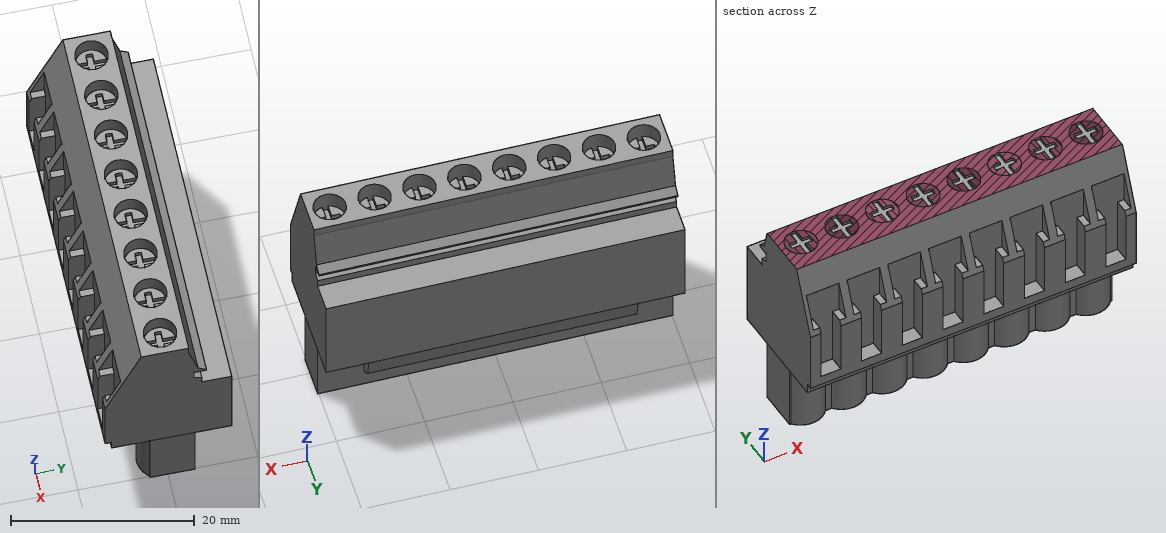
import cadquery as cq

pole_count = 8
length = 40.65
pitch = length / pole_count
pole_centres = [(i - (pole_count - 1) / 2) * pitch for i in range(pole_count)]

height = 27.2
body_bottom = 8.4
lip_top = 9.65
front_top = 17.25
shelf_top = 19.25

depth = 14.1
lip_setback = 0.75
roof_front = 4.02
roof_back = 9.3

groove_bottom = 20.52
groove_floor = 9.9
groove_step_back = 10.75
groove_step_top = 20.2
rib_bottom = 21.62
rib_tip_top = 21.82
rib_tip_back = 11.3
rib_root_top = 22.45
rib_root_back = 10.35
back_straight_bottom = 26.2

slot_depth = 1.83
slot_bottom = 10.8
slot_width = 2.48
slot_head_bottom = 17.9
slot_head_width = 4.05

plug_inset = 0.2
plug_front = 4.02
plug_shoulder = 5.05
plug_back = 10.08
lobe_width = 4.3

latch_length = length - 2 * pitch

screw_y = (roof_front + roof_back) / 2
screw_diameter = 3.6
screw_recess = 2.05
screw_length = 3.25
long_slot_width = 0.65
short_slot_width = 0.75
short_slot_reach = 2.6
cross_depth = 0.6


def extrude_along_x(points, size):
    """Closed Y-Z outline extruded symmetrically about X = 0."""
    return cq.Workplane("YZ").polyline(points).close().extrude(size / 2, both=True)


def make_shell():
    """Housing profile, followed from the bottom front edge up and over to the back."""
    outline = [
        (lip_setback, body_bottom),
        (lip_setback, lip_top),
        (0, lip_top),
        (0, front_top),
        (roof_front, height),
        (roof_back, height),
        (roof_back, back_straight_bottom),
        (rib_root_back, rib_root_top),
        (rib_tip_back, rib_tip_top),
        (rib_tip_back, rib_bottom),
        (groove_floor, rib_bottom),
        (groove_floor, groove_bottom),
        (groove_step_back, groove_step_top),
        (groove_step_back, shelf_top),
        (depth, shelf_top),
        (depth, body_bottom),
    ]
    return extrude_along_x(outline, length)


def make_latch():
    """Hanging hook whose nose points forward to the plug."""
    outline = [
        (13.45, body_bottom),
        (12.8, 5.05),
        (11.5, 3.78),
        (11.15, 4.67),
        (11.8, 5.45),
        (11.8, 7.35),
        (11.35, body_bottom),
    ]
    return extrude_along_x(outline, latch_length)


def make_plug():
    """Bar with one rounded lobe per pole along its front."""
    half_length = length / 2 - plug_inset
    outline = cq.Workplane("XY").moveTo(-half_length, plug_back).lineTo(-half_length, plug_shoulder)
    for x in pole_centres:
        outline = (
            outline.lineTo(x - lobe_width / 2, plug_shoulder)
            .threePointArc((x, plug_front), (x + lobe_width / 2, plug_shoulder))
        )
    outline = outline.lineTo(half_length, plug_shoulder).lineTo(half_length, plug_back).close()
    return outline.extrude(body_bottom)


def make_slot_box(x, width, bottom):
    return (
        cq.Workplane("XY", origin=(x, 0, bottom))
        .box(width, slot_depth, height - bottom, centered=(True, False, False))
    )


def make_slot(x):
    """Narrow wire slot with a wider head, both open upward through the sloping roof."""
    narrow = make_slot_box(x, slot_width, slot_bottom)
    head = make_slot_box(x, slot_head_width, slot_head_bottom)
    return narrow.union(head)


def make_screw_well(x):
    well_depth = screw_recess + screw_length
    return (
        cq.Workplane("XY", origin=(x, screw_y, height - well_depth))
        .circle(screw_diameter / 2)
        .extrude(well_depth)
    )


def make_housing():
    housing = make_shell().union(make_latch()).union(make_plug())
    for x in pole_centres:
        housing = housing.cut(make_slot(x)).cut(make_screw_well(x))
    return housing


def make_screw(x):
    top = height - screw_recess
    screw = (
        cq.Workplane("XY", origin=(x, screw_y, top - screw_length))
        .circle(screw_diameter / 2)
        .extrude(screw_length)
    )
    recess = cq.Workplane("XY", origin=(x, screw_y, top - cross_depth))
    long_slot = recess.rect(long_slot_width, screw_diameter).extrude(cross_depth)
    short_slot = (
        recess.rect(short_slot_reach, short_slot_width)
        .extrude(cross_depth)
        .intersect(recess.circle(short_slot_reach / 2).extrude(cross_depth))
    )
    return screw.cut(long_slot).cut(short_slot)


housing = make_housing()
screws = [make_screw(x) for x in pole_centres]

result = cq.Compound.makeCompound([housing.val(), *[screw.val() for screw in screws]])